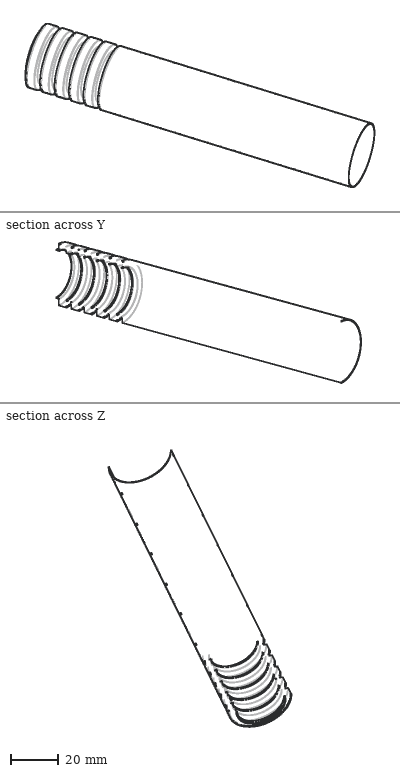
import cadquery as cq

length = 150.0
outer_diameter = 28.5
neck_diameter = 22.4
wall = 0.4
bend_radius = 0.22

ring_count = 5
end_neck_length = 1.2
rings_length = 33.3
groove_width = 2.4
ring_pitch = rings_length / ring_count
ring_width = ring_pitch - groove_width

outer_radius = outer_diameter / 2
neck_radius = neck_diameter / 2
overshoot = 1.5


def cylinder(start, end, radius):
    """Solid cylinder on the X axis between two stations."""
    return cq.Workplane("YZ", origin=(start, 0, 0)).circle(radius).extrude(end - start)


def bellows_tube(neck, ring, inset, end_extension):
    """Stepped solid; inset moves every ring wall inward along X."""
    body_start = end_neck_length + rings_length
    solid = cylinder(-end_extension, body_start + ring_width, neck)
    for index in range(ring_count):
        start = end_neck_length + index * ring_pitch
        solid = solid.union(cylinder(start + inset, start + ring_width - inset, ring))
    solid = solid.union(cylinder(body_start + inset, length + end_extension, ring))
    corners = solid.edges("%CIRCLE").edges(cq.selectors.BoxSelector(
        (end_neck_length / 2, -outer_diameter, -outer_diameter),
        (length - overshoot, outer_diameter, outer_diameter),
        boundingbox=False,
    ))
    return corners.fillet(bend_radius)


outside = bellows_tube(neck_radius, outer_radius, 0, 0)
inside = bellows_tube(neck_radius - wall, outer_radius - wall, wall, overshoot)

result = outside.cut(inside).translate((-length / 2, 0, 0))